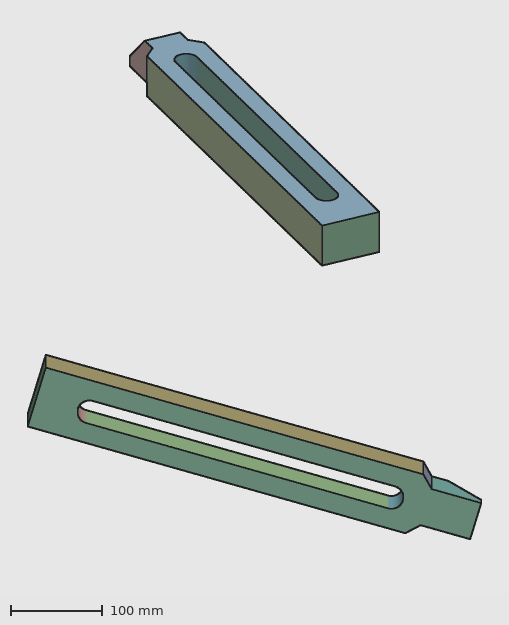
import cadquery as cq

length = 500.0
width = 70.0
height = 50.0

nose_width = 43.0
shoulder_end = 70.0
shoulder_run = (width - nose_width) / 2
shoulder_start = shoulder_end - shoulder_run

tip_height = 12.5
slope_run = height - tip_height

slot_start = 83.0
slot_end = 453.0
slot_width = 26.0


def bar_body():
    """Bar with a narrowed nose, centred on the X axis and standing on Z = 0."""
    half_width = width / 2
    half_nose = nose_width / 2
    return (
        cq.Workplane("XY")
        .polyline([
            (0, -half_nose),
            (shoulder_start, -half_nose),
            (shoulder_end, -half_width),
            (length, -half_width),
            (length, half_width),
            (shoulder_end, half_width),
            (shoulder_start, half_nose),
            (0, half_nose),
        ])
        .close()
        .extrude(height)
    )


def nose_slope():
    """Wedge removed above the sloped face of the nose."""
    return (
        cq.Workplane("XZ")
        .polyline([(0, tip_height), (slope_run, height), (0, height)])
        .close()
        .extrude(width / 2, both=True)
    )


def slot():
    """Full-height slot with semicircular ends."""
    slot_length = slot_end - slot_start
    return (
        cq.Workplane("XY")
        .center((slot_start + slot_end) / 2, 0)
        .slot2D(slot_length, slot_width)
        .extrude(height)
    )


result = bar_body().cut(nose_slope()).cut(slot())